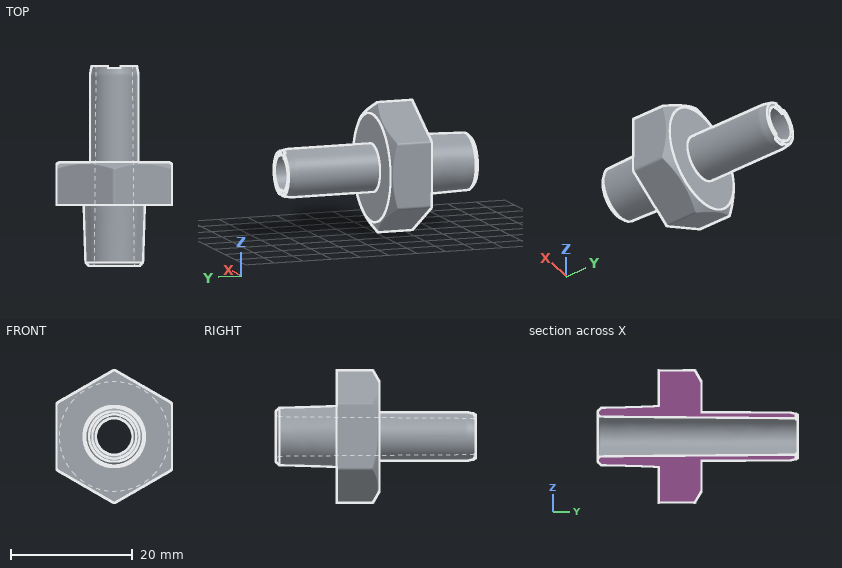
import cadquery as cq
import math

total_length = 32.9
thread_length = 10.05
hex_thickness = 7.05
hex_rear = thread_length + hex_thickness

thread_base_diameter = 10.1
thread_taper = 1 / 16
thread_chamfer_length = 0.63
thread_end_radius = 4.15

hex_across_flats = 19.0
hex_corner_radius = hex_across_flats / 2 / math.cos(math.pi / 6)
hex_edge_fillet = 0.55
hex_rear_radius = 9.0
hex_chamfer_angle = 30.0
hex_rim_fillet = 0.15

stem_radius = 4.0
tip_length = 1.45
tip_radius = 3.78
tip_blend_radius = 1.97
tip_rim_length = 0.2
tip_rim_radius = 3.7

bore_mouth_radius = 3.62
bore_mouth_chamfer = 0.35
bore_mouth_blend = 0.33
bore_end_radius = 3.0

slot_width = 2.05
slot_depth = 0.33


def revolve_about_y(outline):
    """Solid of revolution about Y from (radius, y) points."""
    return cq.Workplane("XY").polyline(outline).close().revolve(360, (0, 0), (0, 1))


def round_circle_at(body, y, radius):
    """Fillet the circular edges of a body that lie in the plane at the given y."""
    near = 0.003
    reach = 2 * hex_corner_radius
    plane_slice = cq.selectors.BoxSelector(
        (-reach, y - near, -reach), (reach, y + near, reach), boundingbox=True
    )
    return body.edges(plane_slice).fillet(radius)


def make_thread_body():
    tapered_length = thread_length - thread_chamfer_length
    base_radius = thread_base_diameter / 2
    chamfer_radius = base_radius - tapered_length * thread_taper / 2
    return revolve_about_y([
        (0, 0),
        (thread_end_radius, 0),
        (chamfer_radius, thread_chamfer_length),
        (base_radius, thread_length),
        (0, thread_length),
    ])


def make_hexagon():
    prism = (
        cq.Workplane("XZ", origin=(0, hex_rear, 0))
        .transformed(rotate=(0, 0, 30))
        .polygon(6, 2 * hex_corner_radius)
        .extrude(hex_thickness)
        .edges("|Y")
        .fillet(hex_edge_fillet)
    )
    cone_run = hex_corner_radius - hex_rear_radius
    cone_drop = cone_run * math.tan(math.radians(hex_chamfer_angle))
    envelope = revolve_about_y([
        (0, thread_length),
        (hex_corner_radius, thread_length),
        (hex_corner_radius, hex_rear - cone_drop),
        (hex_rear_radius, hex_rear),
        (0, hex_rear),
    ])
    blank = prism.intersect(envelope)
    rim = blank.faces("%CONE").edges("not(%CIRCLE or %LINE)")
    return rim.fillet(hex_rim_fillet)


def make_stem():
    tip_start = total_length - tip_length
    stem = revolve_about_y([
        (0, thread_length),
        (stem_radius, thread_length),
        (stem_radius, tip_start),
        (tip_radius, total_length - tip_rim_length),
        (tip_rim_radius, total_length),
        (0, total_length),
    ])
    stem = round_circle_at(stem, tip_start, tip_blend_radius)
    slot = (
        cq.Workplane("XY", origin=(0, total_length, 0))
        .box(slot_width, 2 * slot_depth, 4 * stem_radius)
    )
    return stem.cut(slot)


def make_bore():
    bore = revolve_about_y([
        (0, 0),
        (bore_mouth_radius, 0),
        (bore_mouth_radius - bore_mouth_chamfer, bore_mouth_chamfer),
        (bore_end_radius, total_length),
        (0, total_length),
    ])
    return round_circle_at(bore, bore_mouth_chamfer, bore_mouth_blend)


body = make_thread_body().union(make_hexagon()).union(make_stem())
result = body.cut(make_bore())